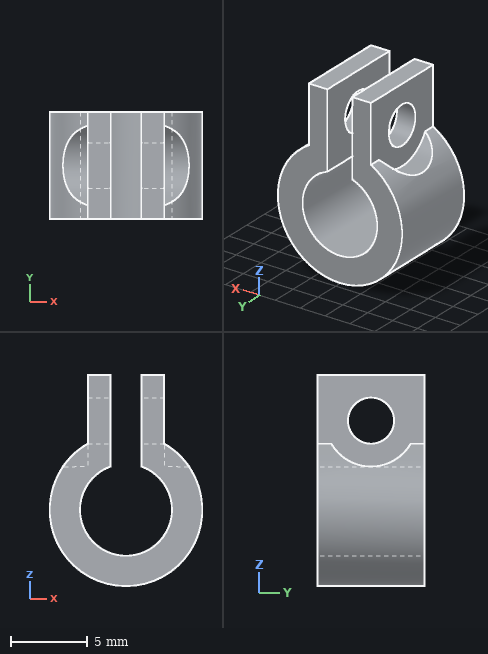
import cadquery as cq

total_height = 13.83
ring_diameter = 10.0
bore_diameter = 6.0
clamp_width = 7.0
slot_width = 2.0
ear_thickness = 1.5
bolt_hole_diameter = 3.0
bolt_seat_diameter = 6.0
bolt_drop = 3.0

ring_radius = ring_diameter / 2
ear_top = total_height - ring_radius
ear_outer_x = slot_width / 2 + ear_thickness
bolt_z = ear_top - bolt_drop


def block_up_from_axis(width):
    """Block standing on the bore axis, up to the ear tops."""
    return cq.Workplane("XY").box(width, clamp_width, ear_top, centered=(True, True, False))


def cylinder_along_bore(diameter):
    return cq.Workplane("XZ").circle(diameter / 2).extrude(clamp_width / 2, both=True)


def cylinder_along_bolt(diameter, start_x, end_x):
    return (
        cq.Workplane("YZ", origin=(start_x, 0, bolt_z))
        .circle(diameter / 2)
        .extrude(end_x - start_x)
    )


clamp = cylinder_along_bore(ring_diameter).union(block_up_from_axis(2 * ear_outer_x))
clamp = clamp.cut(cylinder_along_bore(bore_diameter))
clamp = clamp.cut(block_up_from_axis(slot_width))

clamp = clamp.cut(cylinder_along_bolt(bolt_hole_diameter, -ring_radius, ring_radius))

clamp = clamp.cut(cylinder_along_bolt(bolt_seat_diameter, -ring_radius, -ear_outer_x))
clamp = clamp.cut(cylinder_along_bolt(bolt_seat_diameter, ear_outer_x, ring_radius))

result = clamp